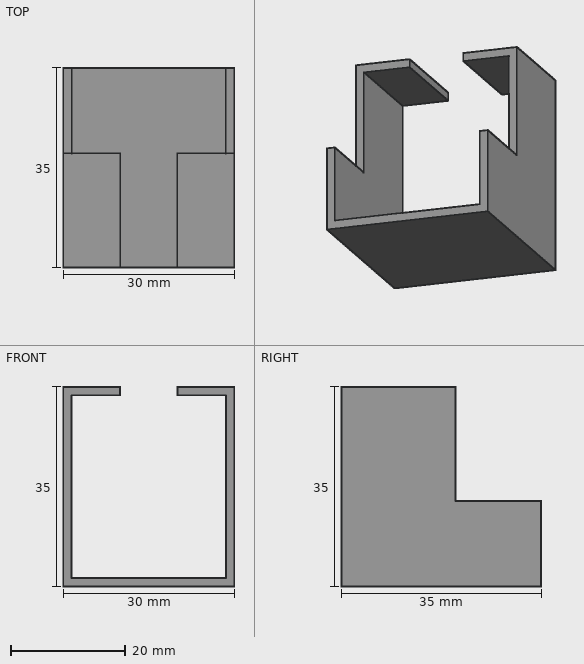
import cadquery as cq

width = 30.0
length = 35.0
height = 35.0
wall = 1.5
slot_width = 10.0
step_length = 15.0
step_height = 15.0


def corner_box(size_x, size_y, size_z, x, y, z):
    """Box with its lowest corner at (x, y, z)."""
    return cq.Workplane("XY").box(size_x, size_y, size_z, centered=False).translate((x, y, z))


def slotted_channel():
    """Rectangular tube along Y with a central slot through its top wall."""
    outer = corner_box(width, length, height, 0, 0, 0)
    bore = corner_box(width - 2 * wall, length, height - 2 * wall, wall, 0, wall)
    slot = corner_box(slot_width, length, wall, (width - slot_width) / 2, 0, height - wall)
    return outer.cut(bore).cut(slot)


def rear_step():
    """Block that removes the upper rear of the channel."""
    return corner_box(width, step_length, height - step_height, 0, length - step_length, step_height)


result = slotted_channel().cut(rear_step())